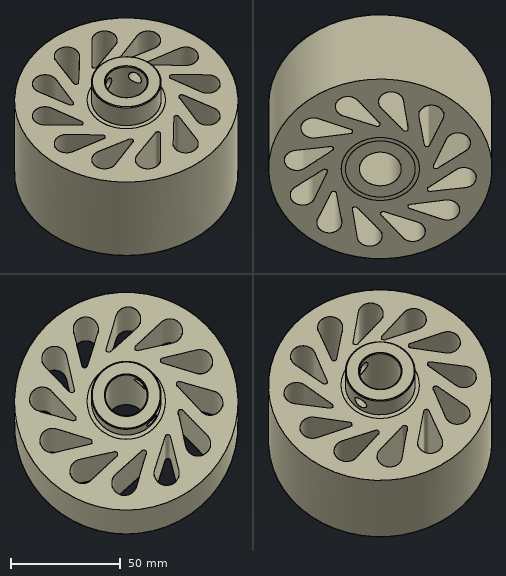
import cadquery as cq
import math

wheel_diameter = 101.6
wheel_width = 49.3

sleeve_diameter = 35.6

hub_diameter = 31.7
hub_projection = 12.2
hub_length = wheel_width + hub_projection
bore_diameter = 19.0
hub_chamfer = 0.4

screw_hole_diameter = 6.5
screw_hole_height = wheel_width + 5.8
screw_hole_angles = (90, 180)

window_count = 12
window_pitch = 360 / window_count
wide_end_radius = 5.7
wide_end_distance = 38.2
wide_end_angle = 11.1
narrow_end_radius = 1.2
narrow_end_distance = 25.3
narrow_end_angle = 30.7


def polar_point(center, radius, angle):
    """Point at a radius and an angle in radians from a center."""
    return (center[0] + radius * math.cos(angle), center[1] + radius * math.sin(angle))


def make_window():
    """Teardrop cutter: two end rounds joined by their common outer tangents."""
    wide = polar_point((0, 0), wide_end_distance, math.radians(wide_end_angle))
    narrow = polar_point((0, 0), narrow_end_distance, math.radians(narrow_end_angle))
    dx = wide[0] - narrow[0]
    dy = wide[1] - narrow[1]
    axis_angle = math.atan2(dy, dx)
    tangent_angle = math.acos((narrow_end_radius - wide_end_radius) / math.hypot(dx, dy))
    left = axis_angle + tangent_angle
    right = axis_angle - tangent_angle
    return (
        cq.Workplane("XY")
        .moveTo(*polar_point(narrow, narrow_end_radius, right))
        .lineTo(*polar_point(wide, wide_end_radius, right))
        .threePointArc(
            polar_point(wide, wide_end_radius, axis_angle),
            polar_point(wide, wide_end_radius, left),
        )
        .lineTo(*polar_point(narrow, narrow_end_radius, left))
        .threePointArc(
            polar_point(narrow, narrow_end_radius, axis_angle + math.pi),
            polar_point(narrow, narrow_end_radius, right),
        )
        .close()
        .extrude(wheel_width)
    )


def make_ring(outer_diameter, inner_diameter, length):
    """Plain tube standing on the XY plane."""
    return (
        cq.Workplane("XY")
        .circle(outer_diameter / 2)
        .circle(inner_diameter / 2)
        .extrude(length)
    )


def make_wheel():
    """Wide wheel with a ring of slanted teardrop windows through it."""
    wheel = make_ring(wheel_diameter, sleeve_diameter, wheel_width)
    window = make_window()
    for index in range(window_count):
        wheel = wheel.cut(window.rotate((0, 0, 0), (0, 0, 1), index * window_pitch))
    return wheel


def make_sleeve():
    """Thin sleeve that fills the gap between wheel and hub."""
    return make_ring(sleeve_diameter, hub_diameter, wheel_width)


def make_hub():
    """Bored hub with chamfered top edges and radial set-screw holes."""
    hub = make_ring(hub_diameter, bore_diameter, hub_length)
    hub = hub.faces(">Z").edges().chamfer(hub_chamfer)
    screw_hole = (
        cq.Workplane("YZ")
        .center(0, screw_hole_height)
        .circle(screw_hole_diameter / 2)
        .extrude(hub_diameter)
    )
    for angle in screw_hole_angles:
        hub = hub.cut(screw_hole.rotate((0, 0, 0), (0, 0, 1), angle))
    return hub


wheel = make_wheel()
sleeve = make_sleeve()
hub = make_hub()

result = cq.Compound.makeCompound([wheel.val(), sleeve.val(), hub.val()])